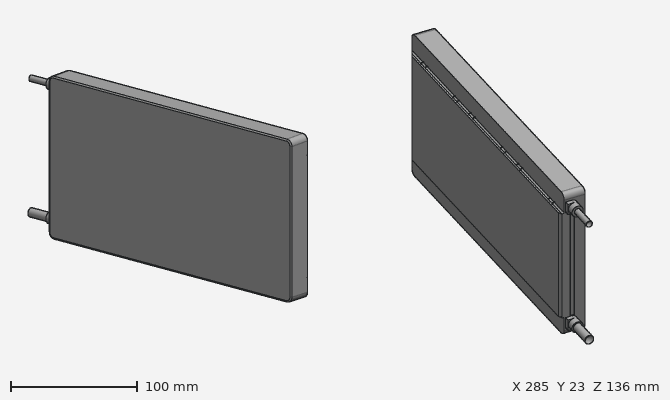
import cadquery as cq
import math

total_length = 285.0
total_depth = 23.0
height = 136.0

housing_left = 29.5
housing_depth = 19.7
corner_radius = 5.0
draft_angle = 0.8
front_chamfer_inset = 1.5
front_chamfer_depth = 0.9

plate_height = 101.5
base_thickness = 1.7
base_bevel = 0.9
left_rise = 1.7
ramp_slope = 0.5

tab_width = 6.8
tab_spacing = 53.3
tab_pair_pitch = 79.8
tab_pair_count = 3
tab_center_x = 156.5
slit_width = 0.9
slit_depth = 2.8
slit_reach = 5.7

outlet_y = 12.8
outlet_spacing = 111.5
sleeve_diameter = 10.0
sleeve_start = 20.0
joint_overlap = 2.8
pad_length = 3.7
pad_back = 18.2
upper_cable_diameter = 5.5
lower_cable_diameter = 7.7
dish_depth_ratio = 0.8

slot_front = 10.5
slot_width = 3.5
slot_depth = 0.9

housing_length = total_length - housing_left
middle_z = height / 2
sleeve_radius = sleeve_diameter / 2
plate_bottom = middle_z - plate_height / 2
plate_top = middle_z + plate_height / 2
base_back = housing_depth + base_thickness


def block(x_min, x_max, y_min, y_max, z_min, z_max):
    size = (x_max - x_min, y_max - y_min, z_max - z_min)
    return cq.Workplane("XY").box(*size, centered=False).translate((x_min, y_min, z_min))


def rod(radius, x_min, x_max, z):
    """Cylinder along X on an outlet axis."""
    length = x_max - x_min
    return cq.Workplane("YZ", origin=(x_min, outlet_y, z)).circle(radius).extrude(length)


def make_housing():
    """Box with upright ends and drafted top and bottom, rounded corners and a chamfered front face."""
    front_inset = housing_depth * math.tan(math.radians(draft_angle))
    end_profile = [
        (0, front_inset),
        (housing_depth, 0),
        (housing_depth, height),
        (0, height - front_inset),
    ]
    return (
        cq.Workplane("YZ", origin=(housing_left, 0, 0))
        .polyline(end_profile)
        .close()
        .extrude(housing_length)
        .faces("<X or >X")
        .edges("not(|Z)")
        .fillet(corner_radius)
        .faces("<Y")
        .chamfer(front_chamfer_inset, front_chamfer_depth)
    )


def make_plate():
    """Back plate with a ramp at each end; the left ramp starts above a short upright wall."""
    plate_rise = total_depth - housing_depth
    left_ramp_run = (plate_rise - left_rise) / ramp_slope
    right_ramp_run = plate_rise / ramp_slope
    side_profile = [
        (housing_left, housing_depth),
        (total_length, housing_depth),
        (total_length - right_ramp_run, total_depth),
        (housing_left + left_ramp_run, total_depth),
        (housing_left, housing_depth + left_rise),
    ]
    end_profile = [
        (housing_depth, plate_bottom),
        (base_back, plate_bottom + base_bevel),
        (total_depth, plate_bottom + base_bevel),
        (total_depth, plate_top - base_bevel),
        (base_back, plate_top - base_bevel),
        (housing_depth, plate_top),
    ]
    along_z = cq.Workplane("XY").polyline(side_profile).close().extrude(height)
    along_x = cq.Workplane("YZ").polyline(end_profile).close().extrude(total_length)
    return along_z.intersect(along_x)


def cut_tab_slits(body):
    """Cut the narrow slits at both sides of each tab in the upper edge of the base layer."""
    for pair in range(tab_pair_count):
        pair_x = tab_center_x + (pair - (tab_pair_count - 1) / 2) * tab_pair_pitch
        for tab_side in (-1, 1):
            tab_x = pair_x + tab_side * tab_spacing / 2
            for slit_side in (-1, 1):
                slit_x = tab_x + slit_side * tab_width / 2
                slit = block(
                    slit_x - slit_width / 2, slit_x + slit_width / 2,
                    housing_depth - slit_reach, base_back,
                    plate_top - slit_depth, plate_top,
                )
                body = body.cut(slit)
    return body


def make_cable(radius, x_end, z):
    """Round cable along X whose tip is hollowed by a spherical dish."""
    dish_depth = dish_depth_ratio * radius
    dish_radius = (radius**2 + dish_depth**2) / (2 * dish_depth)
    arc_middle_angle = math.asin(radius / dish_radius) / 2
    arc_middle_x = dish_depth - dish_radius * (1 - math.cos(arc_middle_angle))
    arc_middle_radius = dish_radius * math.sin(arc_middle_angle)
    return (
        cq.Workplane("XY", origin=(0, outlet_y, z))
        .moveTo(dish_depth, 0)
        .lineTo(x_end, 0)
        .lineTo(x_end, radius)
        .lineTo(0, radius)
        .threePointArc((arc_middle_x, arc_middle_radius), (dish_depth, 0))
        .close()
        .revolve(360, (0, 0, 0), (1, 0, 0))
    )


def make_outlet(z, cable_radius):
    """Square-backed pad, round sleeve and the cable itself."""
    inner_x = housing_left + joint_overlap
    pad = block(
        housing_left - pad_length, inner_x,
        outlet_y, pad_back,
        z - sleeve_radius, z + sleeve_radius,
    )
    sleeve = rod(sleeve_radius, sleeve_start, inner_x, z)
    cable = make_cable(cable_radius, inner_x, z)
    return pad.union(sleeve).union(cable)


body = cut_tab_slits(make_housing().union(make_plate()))

slot_floor = housing_left + slot_depth
body = body.cut(block(0, slot_floor, slot_front, slot_front + slot_width, plate_bottom, plate_top))

body = body.union(make_outlet(middle_z + outlet_spacing / 2, upper_cable_diameter / 2))
result = body.union(make_outlet(middle_z - outlet_spacing / 2, lower_cable_diameter / 2))